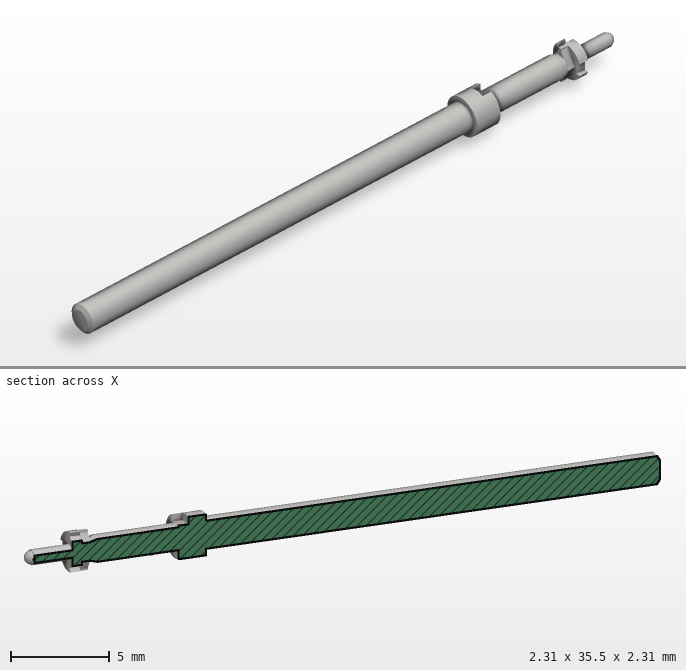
import cadquery as cq
import math

tube_end = 25.5
collar_end = 27.05
neck_start = 31.6
wing_start = 32.0
head_start = 32.45
pin_start = 33.0
length = 35.5

tube_radius = 0.835
tube_end_radius = 0.6
collar_radius = 1.155
barrel_radius = 0.7
neck_radius = 0.62
head_radius = 1.05
pin_radius = 0.41
nose_radius = 0.35

rear_chamfer_length = 0.18

pocket_width = 0.85
pocket_length = 0.57

wing_half_width = 0.65
diamond_half_angle = 30
rib_width = 0.18

notch_count = 3
notch_width = 0.75
notch_floor_radius = 0.75


def turned_body():
    """Solid of revolution about Y, from the tube to the nose of the pin."""
    nose_start = length - nose_radius
    nose_mid = nose_radius * math.sqrt(0.5)
    profile = (
        cq.Workplane("XY")
        .lineTo(tube_end_radius, 0)
        .lineTo(tube_radius, rear_chamfer_length)
        .lineTo(tube_radius, tube_end)
        .lineTo(collar_radius, tube_end)
        .lineTo(collar_radius, collar_end)
        .lineTo(barrel_radius, collar_end)
        .lineTo(barrel_radius, neck_start)
        .lineTo(neck_radius, wing_start)
        .lineTo(pin_radius, wing_start)
        .lineTo(pin_radius, nose_start)
        .lineTo(nose_radius, nose_start)
        .threePointArc((nose_mid, nose_start + nose_mid), (0, length))
        .close()
    )
    return profile.revolve(360, (0, 0, 0), (0, 1, 0))


def section_at(station):
    """Workplane across the rod; local x is X, local y is Z, and +Y is the negative normal."""
    return cq.Workplane("XZ", origin=(0, station, 0))


def collar_pocket():
    """Block standing on the barrel's top line, cut from the front edge of the collar."""
    height = collar_radius - barrel_radius
    return cq.Workplane("XY").box(pocket_width, pocket_length, height).translate(
        (0, collar_end - pocket_length / 2, barrel_radius + height / 2)
    )


def wing():
    """Diamond with ribs at its upper and lower points, trimmed to the head radius."""
    thickness = head_start - wing_start
    diamond_half_height = wing_half_width / math.tan(math.radians(diamond_half_angle))
    corners = [
        (wing_half_width, 0),
        (0, diamond_half_height),
        (-wing_half_width, 0),
        (0, -diamond_half_height),
    ]
    diamond = section_at(wing_start).polyline(corners).close().extrude(-thickness)
    rib = section_at(wing_start).rect(rib_width, 2 * head_radius).extrude(-thickness)
    rim = section_at(wing_start).circle(head_radius).extrude(-thickness)
    return diamond.union(rib).intersect(rim)


def head():
    """Disc with evenly spaced flat-bottomed notches in its rim."""
    thickness = pin_start - head_start
    disc = section_at(head_start).circle(head_radius).extrude(-thickness)
    notch = (
        section_at(head_start)
        .center(notch_floor_radius + head_radius / 2, 0)
        .rect(head_radius, notch_width)
        .extrude(-thickness)
    )
    for index in range(notch_count):
        disc = disc.cut(notch.rotate((0, 0, 0), (0, 1, 0), index * 360 / notch_count))
    return disc


result = turned_body().cut(collar_pocket()).union(wing()).union(head())